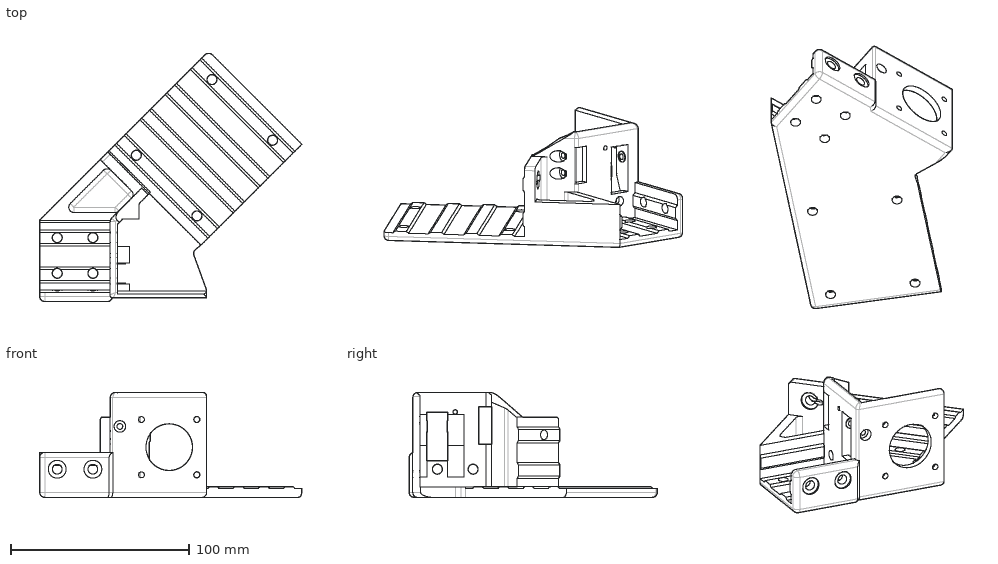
import cadquery as cq
import math


TURN = 45
SQRT2 = math.sqrt(2)

profile = 40.0
slot_pitch = profile / 2
floor_top = 5.1
deck_top = 6.0
edge_round = 3.0
rib_base = 9.0
rib_crest = 6.2

bed_length = 39.5
bed_wall = 5.1
bed_back = 45.5
bed_top = 25.3
nose_start = bed_length - 0.6
nose_end = bed_length + 1.5
bed_rib_height = 1.3
bed_rib_pitch = 20.7
bed_rib_first = 15.0
bed_rib_y = [bed_rib_first, bed_rib_first + bed_rib_pitch]
side_rib_z = bed_rib_first
bed_hole_first_x = 9.8
bolt_z = 15.9
bed_hole_x = [bed_hole_first_x, bed_hole_first_x + slot_pitch]
bed_hole_y = [bolt_z, bolt_z + slot_pitch]
bolt_hole = 5.5
bolt_head = 10.0
bolt_head_depth = 1.0

height = 59.0
sheet = 4.0
wall_inner = bed_length + sheet
plate_front = 2.0
plate_inner = plate_front + sheet
plate_end = 93.6
corner_round = 1.3
plate_end_round = 2.2
floor_notch = (85.8, 27.9)
floor_notch_start = (plate_end, 6.5)
top_bevel = 1.8
motor_x = 72.6
motor_z = 28.2
motor_bore = 26.0
motor_screw = 3.2
motor_screw_pitch = 31.0

axle_window = ((10.0, 20.7), (21.6, 47.8))
belt_window = ((39.1, 30.0), (46.3, 50.8))
pilot_hole = 2.4
pilot_yz = (25.9, 47.9)

block_end = 50.3
block_far_y = 30.9
block_top = 46.6
block_slope_top = 29.1
block_slope_bottom = 11.5
axle_x = 45.0
axle_z = 39.8
axle_hole = 3.2
axle_head = 6.5
axle_pad = 6.2
axle_bore_end = 26.5
axle_pad_height = 0.5

diag_corner_y = 45.7
diag_left = diag_corner_y / SQRT2
diag_right = -58.8 / SQRT2
diag_end = 235.1 / SQRT2
diag_length = 4 * slot_pitch
diag_face = diag_end - diag_length
diag_wall = 6.0
diag_wall_right = -0.6
diag_top = floor_top + profile
diag_rib_height = 0.95
diag_rib_x = [diag_face + slot_pitch * (n + 0.5) for n in range(4)]
diag_rib_z = [floor_top + slot_pitch * (n + 0.5) for n in range(2)]
diag_hole_x = [diag_rib_x[0], diag_rib_x[-1]]
diag_hole_y = [-28.4, 19.7]
diag_bolt_z = diag_rib_z[1]
diag_end_round = 1.9
key_slot = 3.0
key_slot_reach = 6.5
key_slot_depth = 4.4

gusset_face = 6.5 / SQRT2
slope_start = 89.0 / SQRT2
slope_end = 120.8 / SQRT2
gusset_screw = 3.2
gusset_head = 6.5
gusset_seat = 50.0
gusset_hole_end = 60.3
slope_right = -14.7
gusset_hole_x = 47.0
gusset_hole_z = [35.7, 45.5]
gusset_front = 46.3
gusset_foot_x = 46.6
gusset_right = 55.5

pocket_front = 50.0
pocket_round = 3.0
pocket_floor_round = 2.8
pocket_left = 26.7


def turned(body):
    return body.rotate((0, 0, 0), (0, 0, 1), TURN)


def from_turned(x, y):
    """Plan position of a point given in turned coordinates."""
    return ((x - y) / SQRT2, (x + y) / SQRT2)


def box(x0, x1, y0, y1, z0, z1):
    return cq.Workplane("XY").box(x1 - x0, y1 - y0, z1 - z0, centered=False).translate((x0, y0, z0))


def prism(points, z0, z1):
    return cq.Workplane("XY").workplane(offset=z0).polyline(points).close().extrude(z1 - z0)


def rod(start, direction, diameter, length):
    solid = cq.Solid.makeCylinder(diameter / 2, length, cq.Vector(*start), cq.Vector(*direction))
    return cq.Workplane(solid)


def rib(start, across, direction, length, rib_height):
    """Slot rib: a trapezoid rising from its base centre, swept along direction."""
    plane = cq.Plane(origin=start, xDir=across, normal=direction)
    outline = [
        (-rib_base / 2, 0),
        (rib_base / 2, 0),
        (rib_crest / 2, rib_height),
        (-rib_crest / 2, rib_height),
    ]
    return cq.Workplane(plane).polyline(outline).close().extrude(length)


def corner(body, x, y, radius):
    """Round the upright edge nearest to the plan position."""
    middle = body.val().BoundingBox().center.z
    return body.edges("|Z").edges(cq.NearestToPointSelector((x, y, middle))).fillet(radius)


def rounded_below(edge):
    """True for the underside edges that are rounded: all but those behind the motor plate's end."""
    middle = edge.Center()
    to_the_left = (middle.y - middle.x) / SQRT2
    return middle.y < floor_notch_start[1] or to_the_left > diag_right + edge_round


def make_floor():
    far_corner = from_turned(diag_end, diag_left)
    outline = [
        (0, 0),
        (nose_start, 0),
        (nose_end, plate_front),
        (plate_end, plate_front),
        floor_notch_start,
        floor_notch,
        from_turned(diag_face, diag_right),
        from_turned(diag_end, diag_right),
        far_corner,
        (0, diag_corner_y),
    ]
    floor = prism(outline, 0, floor_top)
    floor = corner(floor, 0, 0, edge_round)
    floor = corner(floor, *far_corner, edge_round)
    floor = corner(floor, *floor_notch, edge_round)
    return floor.faces("<Z").edges().filter(rounded_below).fillet(edge_round)


def make_deck():
    """Raised floor inside the bracket, ending at the step that locates the diagonal profile."""
    outline = [
        (bed_length, plate_front),
        (plate_end, plate_front),
        floor_notch_start,
        floor_notch,
        from_turned(diag_face, diag_right),
        from_turned(diag_face, gusset_face),
        (bed_length, bed_back),
    ]
    deck = prism(outline, floor_top, deck_top)
    return corner(deck, *floor_notch, edge_round)


def make_bed():
    outline = [
        (0, 0),
        (nose_start, 0),
        (nose_end, plate_front),
        (nose_end, bed_wall),
        (0, bed_wall),
    ]
    wall = corner(prism(outline, floor_top, bed_top), 0, 0, edge_round)
    bed = wall.faces(">Z").edges("<Y").fillet(edge_round)
    for y in bed_rib_y:
        bed = bed.union(rib((0, y, floor_top), (0, 1, 0), (1, 0, 0), bed_length, bed_rib_height))
    front_base = (0, bed_wall, side_rib_z)
    back_base = (0, bed_back, side_rib_z)
    bed = bed.union(rib(front_base, (0, 0, -1), (1, 0, 0), bed_length, bed_rib_height))
    return bed.union(rib(back_base, (0, 0, 1), (1, 0, 0), bed_length, bed_rib_height))


def make_block():
    """Block behind the bed, up to the diagonal wall, with an open pocket."""
    outline = [
        (0, bed_back),
        (wall_inner, bed_back),
        from_turned(slope_start, gusset_face),
        from_turned(diag_face, gusset_face),
        from_turned(diag_face, diag_left),
        (0, diag_corner_y),
    ]
    wall_back = diag_face - diag_wall
    pocket_outline = [
        (pocket_front - pocket_left * SQRT2, pocket_front),
        (pocket_front - gusset_face * SQRT2, pocket_front),
        from_turned(wall_back, gusset_face),
        from_turned(wall_back, pocket_left),
    ]
    pocket = prism(pocket_outline, floor_top, bed_top)
    pocket = pocket.edges("|Z").fillet(pocket_round).faces("<Z").edges().fillet(pocket_floor_round)
    return prism(outline, floor_top, bed_top).cut(pocket)


def make_diagonal_wall():
    wall = box(diag_face - diag_wall, diag_face, diag_wall_right, diag_left, floor_top, diag_top)
    wall = wall.faces(">Z").edges(">Y").fillet(diag_end_round)
    for z in diag_rib_z:
        start = (diag_face, diag_wall_right, z)
        wall = wall.union(rib(start, (0, 0, 1), (0, 1, 0), diag_left - diag_wall_right, diag_rib_height))
    return turned(wall)


def make_inner_corner():
    """Concave round between the gusset and the diagonal wall, above the block."""
    wall_back = diag_face - diag_wall
    axis_x = wall_back - edge_round
    axis_y = gusset_face + edge_round
    fill = box(axis_x, wall_back, gusset_face, axis_y, bed_top, diag_top)
    return turned(fill.cut(rod((axis_x, axis_y, bed_top), (0, 0, 1), 2 * edge_round, diag_top - bed_top)))


def make_diagonal_ribs():
    ribs = cq.Workplane("XY")
    for x in diag_rib_x:
        start = (x, diag_right, floor_top)
        ribs = ribs.add(rib(start, (-1, 0, 0), (0, 1, 0), diag_left - diag_right, diag_rib_height))
    return turned(ribs.combine())


def make_upright():
    """Wall, motor plate and gusset as one L-shaped upright with a sloping gusset top."""
    wall_end = gusset_face * SQRT2 + bed_length
    gusset_right_y = gusset_right + diag_wall_right * SQRT2
    outline = [
        (bed_length, plate_front),
        (plate_end, plate_front),
        (plate_end, plate_inner),
        (wall_inner, plate_inner),
        (wall_inner, gusset_front - (gusset_foot_x - wall_inner)),
        (gusset_foot_x, gusset_front),
        (gusset_right, gusset_front),
        (gusset_right, gusset_right_y),
        from_turned(slope_end, diag_wall_right),
        from_turned(slope_end, gusset_face),
        (bed_length, wall_end),
    ]
    upright = prism(outline, floor_top, height)
    upright = corner(upright, bed_length, plate_front, corner_round)
    upright = corner(upright, bed_length, wall_end, edge_round)
    upright = corner(upright, gusset_right, gusset_right_y, edge_round)
    upright = upright.edges(cq.NearestToPointSelector((motor_x, plate_front, height))).fillet(edge_round)
    envelope = box(0, plate_end, 0, plate_end, 0, height)
    upright = upright.intersect(envelope.edges("|Y and >X and >Z").fillet(plate_end_round))
    slope = [
        (slope_start, height),
        (slope_end, diag_top),
        (diag_face, diag_top),
        (diag_face, height),
    ]
    slope_plane = cq.Workplane("XZ", origin=(0, diag_left, 0))
    wedge = slope_plane.polyline(slope).close().extrude(diag_left - slope_right)
    upright = upright.cut(turned(wedge))
    bevel = [
        (plate_inner, height - top_bevel),
        (plate_inner, height),
        (plate_inner - top_bevel, height),
    ]
    bevel_plane = cq.Workplane("YZ", origin=(wall_inner, 0, 0))
    return upright.cut(bevel_plane.polyline(bevel).close().extrude(plate_end - wall_inner))


def make_axle_blocks():
    """Two blocks beside the axle window, sloping back to the wall below."""
    outline = [
        (nose_end, block_slope_bottom),
        (wall_inner, block_slope_bottom),
        (block_end, block_slope_top),
        (block_end, block_top),
        (nose_end, block_top),
    ]
    window_front = axle_window[0][0]
    window_back = axle_window[1][0]
    blocks = cq.Workplane("XY")
    for y0, y1 in [(plate_inner, window_front), (window_back, block_far_y)]:
        profile_plane = cq.Workplane("XZ", origin=(0, y1, 0))
        blocks = blocks.add(profile_plane.polyline(outline).close().extrude(y1 - y0))
    return blocks.combine()


def make_axle_pads():
    window_front = axle_window[0][0]
    window_back = axle_window[1][0]
    lower = rod((axle_x, window_front, axle_z), (0, 1, 0), axle_pad, axle_pad_height)
    upper = rod((axle_x, window_back, axle_z), (0, -1, 0), axle_pad, axle_pad_height)
    return lower.union(upper)


def bed_holes():
    cutters = cq.Workplane("XY")
    for x in bed_hole_x:
        cutters = cutters.add(rod((x, 0, bolt_z), (0, 1, 0), bolt_hole, bed_wall + bed_rib_height))
        cutters = cutters.add(rod((x, 0, bolt_z), (0, 1, 0), bolt_head, bolt_head_depth))
        for y in bed_hole_y:
            cutters = cutters.add(rod((x, y, 0), (0, 0, 1), bolt_hole, floor_top + bed_rib_height))
    return cutters.combine()


def wall_openings():
    cutters = cq.Workplane("XY")
    for (y0, z0), (y1, z1) in [axle_window, belt_window]:
        cutters = cutters.add(box(bed_length, gusset_foot_x, y0, y1, z0, z1))
    for y in bed_hole_y:
        cutters = cutters.add(rod((bed_length, y, bolt_z), (1, 0, 0), bolt_hole, sheet))
    cutters = cutters.add(rod((bed_length, *pilot_yz), (1, 0, 0), pilot_hole, sheet))
    return cutters.combine()


def motor_holes():
    cutters = rod((motor_x, 0, motor_z), (0, 1, 0), motor_bore, plate_inner)
    offset = motor_screw_pitch / 2
    for x in (motor_x - offset, motor_x + offset):
        for z in (motor_z - offset, motor_z + offset):
            cutters = cutters.add(rod((x, 0, z), (0, 1, 0), motor_screw, plate_inner))
    return cutters.combine()


def axle_holes():
    bore = rod((axle_x, plate_front, axle_z), (0, 1, 0), axle_hole, axle_bore_end - plate_front)
    return bore.union(rod((axle_x, plate_front, axle_z), (0, 1, 0), axle_head, sheet))


def gusset_holes():
    cutters = cq.Workplane("XY")
    for z in gusset_hole_z:
        front = (gusset_hole_x, gusset_front, z)
        seat = (gusset_hole_x, gusset_seat, z)
        cutters = cutters.add(rod(front, (0, 1, 0), gusset_screw, gusset_hole_end - gusset_front))
        cutters = cutters.add(rod(seat, (0, 1, 0), gusset_head, gusset_hole_end - gusset_seat))
    return cutters.combine()


def diagonal_holes():
    cutters = cq.Workplane("XY")
    for x in diag_hole_x:
        for y in diag_hole_y:
            cutters = cutters.add(rod((x, y, 0), (0, 0, 1), bolt_hole, floor_top + diag_rib_height))
    wall_back = diag_face - diag_wall
    head_y = max(diag_hole_y)
    head = (wall_back, head_y, diag_bolt_z)
    cutters = cutters.add(rod(head, (1, 0, 0), bolt_hole, diag_wall + diag_rib_height))
    cutters = cutters.add(rod(head, (1, 0, 0), bolt_head, bolt_head_depth))
    slot_end = head_y - key_slot_reach
    cutters = cutters.add(rod((wall_back, slot_end, diag_bolt_z), (1, 0, 0), key_slot, key_slot_depth))
    slot_bottom = diag_bolt_z - key_slot / 2
    slot_floor = wall_back + key_slot_depth
    slot = box(wall_back, slot_floor, slot_end, head_y, slot_bottom, slot_bottom + key_slot)
    cutters = cutters.add(slot)
    return turned(cutters.combine())


additions = [
    make_deck(),
    make_bed(),
    make_block(),
    make_diagonal_wall(),
    make_inner_corner(),
    make_diagonal_ribs(),
    make_upright(),
    make_axle_blocks(),
]
result = make_floor()
for addition in additions:
    result = result.union(addition)
for cutter in [bed_holes(), wall_openings(), motor_holes(), gusset_holes(), diagonal_holes()]:
    result = result.cut(cutter)
result = result.union(make_axle_pads()).cut(axle_holes())